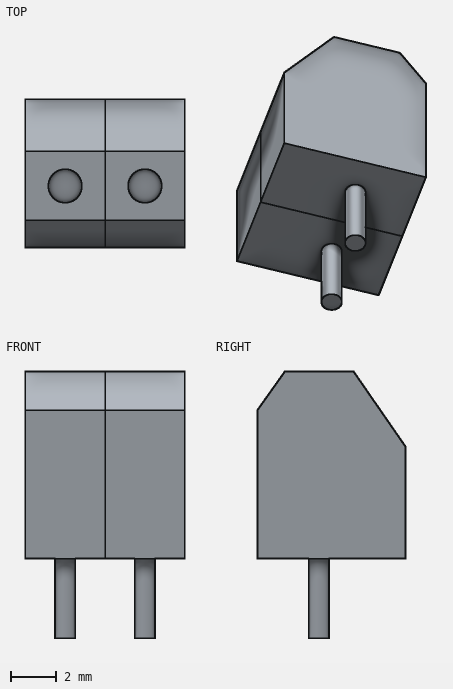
import cadquery as cq

module_count = 2
module_width = 3.5
module_depth = 6.5
total_height = 11.7
pin_length = 3.5
housing_height = total_height - pin_length

front_slope_depth = 1.2
front_slope_height = 1.7
back_slope_depth = 2.28
back_slope_height = 3.3

axis_from_front = 2.7
recess_diameter = 1.47
recess_depth = 0.5
pin_diameter = 0.9


def make_housing():
    """Extrude the side profile along X, with the front face at Y = 0 and the base at Z = 0."""
    profile = [
        (0, 0),
        (module_depth, 0),
        (module_depth, housing_height - back_slope_height),
        (module_depth - back_slope_depth, housing_height),
        (front_slope_depth, housing_height),
        (0, housing_height - front_slope_height),
    ]
    return cq.Workplane("YZ").polyline(profile).close().extrude(module_width)


def make_axis_cylinder(diameter, bottom, height):
    """Upright cylinder on the axis of the module."""
    return (
        cq.Workplane("XY", origin=(module_width / 2, axis_from_front, bottom))
        .circle(diameter / 2)
        .extrude(height)
    )


def make_terminal_module():
    """One terminal: a housing with a blind screw recess on top and a solder pin below."""
    recess = make_axis_cylinder(recess_diameter, housing_height - recess_depth, recess_depth)
    pin = make_axis_cylinder(pin_diameter, -pin_length, pin_length)
    return make_housing().cut(recess).union(pin)


terminal_modules = []
for index in range(module_count):
    module = make_terminal_module().translate((index * module_width, 0, 0))
    terminal_modules.append(module.val())

result = cq.Compound.makeCompound(terminal_modules)